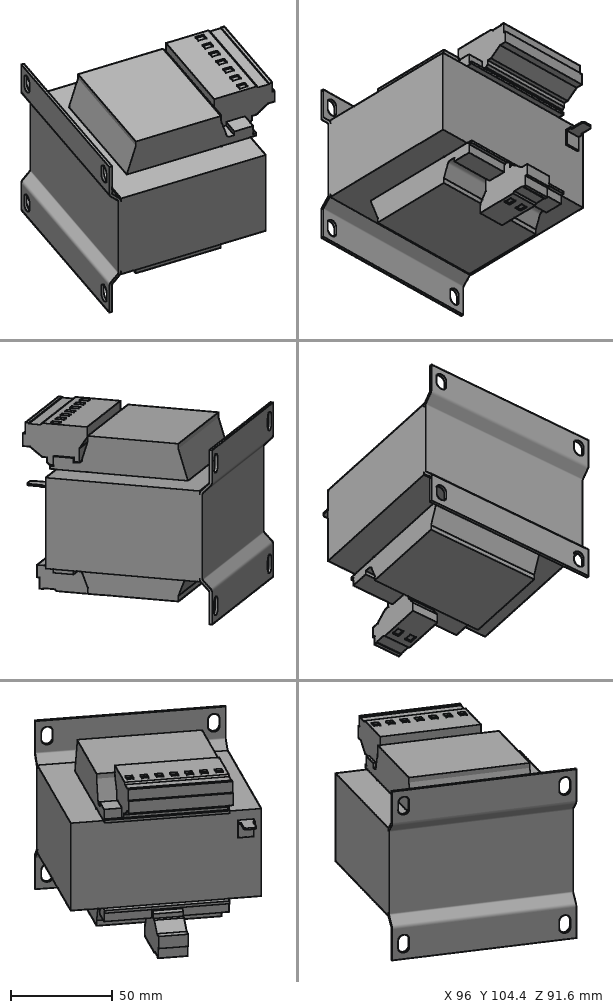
import cadquery as cq
import math

core_width = 96.0
core_depth = 80.0
core_height = 46.4
terminal_top_z = 45.8
terminal_nose_y = 57.9

sheet = 1.5
bracket_height = 89.0
foot_offset = 5.0
bend_angle = 45.0
web_bend_z = 22.0
inner_bend_radius = 1.0
outer_bend_radius = inner_bend_radius + sheet
slot_width = 5.8
slot_length = 9.4
slot_spacing_x = 84.0
slot_spacing_z = 72.8

coil_width = 63.0
upper_coil_top_z = 41.7
upper_coil_shoulder_z = 39.1
lower_coil_top_z = 38.9
lower_coil_shoulder_z = 36.0
coil_half_depth = 23.5
coil_base_half_depth = 28.5
carrier_floor_z = 27.5
carrier_root_radius = 2.0
rail_top_z = 29.7
rail_inner_y = 31.0
rail_outer_y = 41.4
flange_top_z = 24.6
flange_end_y = 43.2

nib_reach = 0.4
nib_length = 0.5
nib_height = 0.2

pole_pitch = 7.5
upper_poles = 7
upper_right_x = 22.5
lower_poles = 2
lower_right_x = pole_pitch
wire_hole_width = 3.5
wire_hole_length = 4.5
wire_hole_y = 41.8
wire_hole_depth = 1.0

terminal_back_y = 24.4
terminal_back_z = 40.5
terminal_heel_y = 28.4
terminal_heel_z = 34.5
hook_y = 45.3
hook_bottom_z = 24.9
hook_top_z = 28.5
hook_chamfer = 1.2
chin_y = 47.7
nose_bottom_z = 33.2
nose_root_y = 54.1
nose_top_z = 39.6
front_wall_y = 56.6
lip_top_z = 45.3
lip_inner_y = 54.7
recess_z = 44.9
recess_inner_y = 48.7
top_front_y = 47.8

tab_x = -40.1
tab_sheet = 0.9
tab_top_z = 18.0
tab_bottom_z = 9.0
tab_base_width = 8.0
tab_base_length = 3.5
tab_blade_width = 6.3
tab_length = 11.4
tab_chamfer = 1.0

core_top_z = core_height / 2
core_front_y = -core_depth / 2
core_back_y = core_depth / 2


def extrude_along_x(points, width, center_x=0.0):
    """Extrude a closed (Y, Z) outline along X, centred on center_x."""
    outline = cq.Workplane("YZ").polyline(points).close()
    return outline.extrude(width / 2, both=True).translate((center_x, 0, 0))


def fillet_x_edge(body, y, z, radius):
    """Round the edge parallel to X that passes through (y, z)."""
    edge = body.edges("|X").edges(cq.NearestToPointSelector((0, y, z)))
    return edge.fillet(radius)


def make_core():
    return cq.Workplane("XY").box(core_width, core_depth, core_height)


def make_bracket():
    web_outer_y = core_front_y - sheet
    foot_outer_y = web_outer_y - foot_offset
    foot_inner_y = foot_outer_y + sheet
    foot_bend_z = web_bend_z + foot_offset / math.tan(math.radians(bend_angle))
    miter = sheet * math.tan(math.radians(bend_angle / 2))
    foot_end_z = bracket_height / 2

    outer_face = [
        (web_outer_y, web_bend_z),
        (foot_outer_y, foot_bend_z),
        (foot_outer_y, foot_end_z),
    ]
    inner_face = [
        (foot_inner_y, foot_end_z),
        (foot_inner_y, foot_bend_z + miter),
        (core_front_y, web_bend_z + miter),
    ]
    upper_half = outer_face + inner_face
    lower_half = [(y, -z) for y, z in reversed(upper_half)]
    bracket = extrude_along_x(upper_half + lower_half, core_width)

    for side in (1, -1):
        bends = [
            (web_outer_y, web_bend_z, inner_bend_radius),
            (foot_outer_y, foot_bend_z, outer_bend_radius),
            (foot_inner_y, foot_bend_z + miter, inner_bend_radius),
            (core_front_y, web_bend_z + miter, outer_bend_radius),
        ]
        for y, z, radius in bends:
            bracket = fillet_x_edge(bracket, y, side * z, radius)

    slots = (
        cq.Workplane("XZ", origin=(0, core_front_y, 0))
        .rarray(slot_spacing_x, slot_spacing_z, 2, 2)
        .slot2D(slot_length, slot_width, 90)
        .extrude(2 * (sheet + foot_offset))
    )
    return bracket.cut(slots)


def make_coil(top_z, shoulder_z):
    """Coil body and terminal carrier on top of the core."""
    wall_run = (coil_base_half_depth - coil_half_depth) / (shoulder_z - core_top_z)
    root_y = coil_half_depth + wall_run * (shoulder_z - carrier_floor_z)
    outline = [
        (-coil_base_half_depth, core_top_z),
        (-coil_half_depth, shoulder_z),
        (-coil_half_depth, top_z),
        (coil_half_depth, top_z),
        (coil_half_depth, shoulder_z),
        (root_y, carrier_floor_z),
        (rail_inner_y, carrier_floor_z),
        (rail_inner_y, rail_top_z),
        (rail_outer_y, rail_top_z),
        (rail_outer_y, flange_top_z),
        (flange_end_y, flange_top_z),
        (flange_end_y, core_top_z),
    ]
    coil = extrude_along_x(outline, coil_width)
    coil = fillet_x_edge(coil, root_y, carrier_floor_z, carrier_root_radius)
    nibs = cq.Workplane("XY").box(
        coil_width + 2 * nib_reach, nib_length, nib_height, centered=(True, True, False)
    )
    return coil.union(nibs.translate((0, coil_half_depth + nib_length / 2, core_top_z)))


def make_terminals(poles, right_x):
    """Row of terminal poles on the carrier, ending at right_x on the +X side."""
    outline = [
        (terminal_back_y, terminal_top_z),
        (terminal_back_y, terminal_back_z),
        (terminal_heel_y, terminal_heel_z),
        (terminal_heel_y, carrier_floor_z),
        (rail_inner_y, carrier_floor_z),
        (rail_inner_y, rail_top_z),
        (rail_outer_y, rail_top_z),
        (rail_outer_y, hook_bottom_z),
        (hook_y - hook_chamfer, hook_bottom_z),
        (hook_y, hook_bottom_z + hook_chamfer),
        (hook_y, hook_top_z),
        (chin_y, hook_top_z),
        (nose_root_y, nose_bottom_z),
        (terminal_nose_y, nose_bottom_z),
        (terminal_nose_y, nose_top_z),
        (front_wall_y, nose_top_z),
        (front_wall_y, lip_top_z),
        (lip_inner_y, lip_top_z),
        (lip_inner_y, recess_z),
        (recess_inner_y, recess_z),
        (top_front_y, terminal_top_z),
    ]
    row_width = poles * pole_pitch
    center_x = right_x - row_width / 2
    row = extrude_along_x(outline, row_width, center_x)
    wire_holes = (
        cq.Workplane("XY", origin=(center_x, wire_hole_y, terminal_top_z))
        .rarray(pole_pitch, 1, poles, 1)
        .rect(wire_hole_width, wire_hole_length)
        .extrude(-wire_hole_depth)
    )
    return row.cut(wire_holes)


def make_earth_tab():
    leg_height = tab_top_z - tab_bottom_z
    leg = cq.Workplane("XY").box(tab_base_width, tab_sheet, leg_height, centered=(True, False, False))
    leg = leg.translate((0, 0, -leg_height))
    base = cq.Workplane("XY").box(tab_base_width, tab_base_length, tab_sheet, centered=(True, False, False))
    blade = (
        cq.Workplane("XY")
        .box(tab_blade_width, tab_length, tab_sheet, centered=(True, False, False))
        .edges("|Z and >Y")
        .chamfer(tab_chamfer)
    )
    plate = base.union(blade).translate((0, 0, -tab_sheet))
    return leg.union(plate).translate((tab_x, core_back_y, tab_top_z))


upper_coil = make_coil(upper_coil_top_z, upper_coil_shoulder_z)
upper_side = upper_coil.union(make_terminals(upper_poles, upper_right_x))

lower_coil = make_coil(lower_coil_top_z, lower_coil_shoulder_z)
lower_side = lower_coil.union(make_terminals(lower_poles, lower_right_x)).mirror("XY")

result = (
    make_core()
    .union(make_bracket())
    .union(upper_side)
    .union(lower_side)
    .union(make_earth_tab())
)